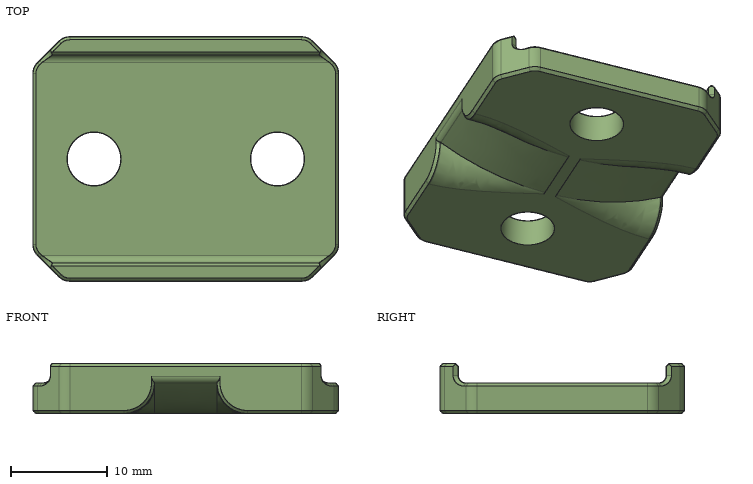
import cadquery as cq
import math

length = 31.75
width = 25.4
height = 5.2
floor_height = 3.18
half_length = length / 2
half_width = width / 2

corner_cut = 3.18
corner_radius = 1.6
edge_chamfer = 0.32

rail_thickness = 1.9
rail_fillet = 0.8
rail_end_steps = 6
rail_end_growth = 1.8

hole_diameter = 5.55
hole_spacing = 19.05

groove_half_width = 3.25
groove_arc_radius = 25.4
groove_flare_radius = 3.18
groove_lip_fillet = 0.8
groove_shallow_end = 0.65
groove_section_count = 9
flare_center_x = groove_half_width + groove_flare_radius

overlap = 0.32


def plate_prism(thickness):
    """Prism with the cut and rounded corners of the plan outline."""
    prism = cq.Workplane("XY").rect(length, width).extrude(thickness)
    prism = prism.edges("|Z").chamfer(corner_cut)
    return prism.edges("|Z").fillet(corner_radius)


def channel_cutter():
    """Space between the rails above the floor, with rounded lower edges."""
    channel_width = width - 2 * rail_thickness
    channel = cq.Workplane("XY", origin=(0, 0, floor_height)).box(
        length + 2 * overlap, channel_width, height, centered=(True, True, False)
    )
    return channel.edges("|X and <Z").fillet(rail_fillet)


def rails():
    """Both rails down to the underside, filleted at the floor and chamfered along the top."""
    gap_width = width - 2 * (rail_thickness + rail_fillet)
    gap = cq.Workplane("XY").box(length, gap_width, 2 * (height + overlap))
    both = plate_prism(height).cut(channel_cutter()).cut(gap)
    return both.faces(">Z").edges().chamfer(edge_chamfer)


def rail_end_triangle(angle):
    """Section of the chamfer between a corner cut and the rail's inner face or its fillet.

    The angle runs from 0 at the upright rail face to 90 degrees at the floor. The chamfer
    meets both faces where a ball of radius edge_chamfer inside the rail would touch them.
    """
    inner_normal = cq.Vector(0, math.cos(angle), math.sin(angle))
    corner_normal = cq.Vector(-math.sqrt(0.5), -math.sqrt(0.5), 0)
    ball_path_radius = rail_fillet + edge_chamfer
    ball_inset = rail_thickness + rail_fillet - ball_path_radius * math.cos(angle)
    ball = cq.Vector(
        -half_length + corner_cut + edge_chamfer * math.sqrt(2) - ball_inset,
        -half_width + ball_inset,
        floor_height + rail_fillet - ball_path_radius * math.sin(angle),
    )
    inner_touch = ball + inner_normal * edge_chamfer
    corner_touch = ball + corner_normal * edge_chamfer
    reach = edge_chamfer / (1 + inner_normal.dot(corner_normal))
    sharp_edge = ball + (inner_normal + corner_normal) * reach
    middle = (inner_touch + corner_touch) * 0.5
    corners = [
        middle + (point - middle) * rail_end_growth
        for point in (inner_touch, sharp_edge, corner_touch)
    ]
    return cq.Wire.makePolygon(corners, close=True)


def rail_end_cutters():
    """Chamfer at the (-X, -Y) rail end: down the upright edge, round the fillet, onto the floor."""
    quarter_turn = math.pi / 2
    sections = [
        rail_end_triangle(quarter_turn * i / rail_end_steps) for i in range(rail_end_steps + 1)
    ]
    upright = cq.Solid.extrudeLinear(sections[0], [], cq.Vector(0, 0, height))
    curved = cq.Solid.makeLoft(sections)
    level = cq.Solid.extrudeLinear(sections[-1], [], cq.Vector(-overlap, overlap, 0))
    return [upright, curved, level]


def ceiling_height(distance):
    """Height of the groove ceiling above the underside at a distance from mid width."""
    return groove_arc_radius - math.sqrt(groove_arc_radius**2 - distance**2)


def section_plane(distance):
    """Workplane across the groove, on the -Y side at a distance from mid width."""
    return cq.Workplane("XZ", origin=(0, -distance, 0))


def inner_section(distance):
    """Groove section whose flares touch the underside and end at the ceiling edges."""
    ceiling = ceiling_height(distance)
    sweep = math.acos(1 - ceiling / groove_flare_radius)
    foot_x = groove_half_width + groove_flare_radius * math.sin(sweep)
    mid_x = foot_x - groove_flare_radius * math.sin(sweep / 2)
    mid_z = groove_flare_radius * (1 - math.cos(sweep / 2))
    section = (
        section_plane(distance)
        .moveTo(-foot_x, 0)
        .threePointArc((-mid_x, mid_z), (-groove_half_width, ceiling))
        .lineTo(groove_half_width, ceiling)
        .threePointArc((mid_x, mid_z), (foot_x, 0))
        .close()
    )
    return section.val()


def mouth_section(distance, widening):
    """Section with upright walls above quarter-round flares, widened evenly all round."""
    wall_x = groove_half_width + widening
    radius = groove_flare_radius - widening
    mid_x = flare_center_x - radius * math.sqrt(0.5)
    mid_z = groove_flare_radius - radius * math.sqrt(0.5)
    section = (
        section_plane(distance)
        .moveTo(-flare_center_x, -overlap)
        .lineTo(-flare_center_x, widening)
        .threePointArc((-mid_x, mid_z), (-wall_x, groove_flare_radius))
        .lineTo(-wall_x, height)
        .lineTo(wall_x, height)
        .lineTo(wall_x, groove_flare_radius)
        .threePointArc((mid_x, mid_z), (flare_center_x, widening))
        .lineTo(flare_center_x, -overlap)
        .close()
    )
    return section.val()


def space_below_ceiling():
    """Space under the -Y half of the ceiling, with the ceiling rounded into the plate side."""
    span = 2 * flare_center_x
    side_height = ceiling_height(half_width)
    mid_y = half_width / 2
    material = (
        cq.Workplane("YZ", origin=(-flare_center_x, 0, 0))
        .moveTo(0, 0)
        .threePointArc((-mid_y, ceiling_height(mid_y)), (-half_width, side_height))
        .lineTo(-half_width, height)
        .lineTo(0, height)
        .close()
        .extrude(span)
    )
    lip = cq.selectors.NearestToPointSelector((0, -half_width, side_height))
    material = material.edges(lip).fillet(groove_lip_fillet)
    block = cq.Workplane("XY", origin=(0, -mid_y, 0)).box(span, half_width, 2 * height)
    return block.cut(material)


def groove_cutters():
    """The -Y half of the groove: its chamfered mouth and the part that runs out at mid width."""
    full_flare = math.sqrt(groove_arc_radius**2 - (groove_arc_radius - groove_flare_radius) ** 2)
    step = (full_flare - groove_shallow_end) / (groove_section_count - 1)
    inner = cq.Solid.makeLoft(
        [inner_section(full_flare - i * step) for i in range(groove_section_count)]
    )
    walls = cq.Solid.makeLoft([mouth_section(half_width, 0), mouth_section(full_flare, 0)], True)
    chamfer = cq.Solid.makeLoft(
        [mouth_section(half_width, edge_chamfer), mouth_section(half_width - edge_chamfer, 0)],
        True,
    )
    mouth = cq.Workplane(walls).union(cq.Workplane(chamfer)).intersect(space_below_ceiling())
    return [inner, mouth.val()]


def cut_on_both_y_sides(body, cutter):
    """Cut with a cutter and with its mirror image on the other side of mid width."""
    return body.cut(cq.Workplane(cutter)).cut(cq.Workplane(cutter.mirror("XZ")))


floor_plate = plate_prism(floor_height).faces(">Z").edges().chamfer(edge_chamfer)
body = floor_plate.union(rails())
body = body.faces("<Z").edges().chamfer(edge_chamfer)

for end_cutter in rail_end_cutters():
    body = cut_on_both_y_sides(body, end_cutter)
    body = cut_on_both_y_sides(body, end_cutter.mirror("YZ"))

for groove_cutter in groove_cutters():
    body = cut_on_both_y_sides(body, groove_cutter)

holes = (
    cq.Workplane("XY")
    .pushPoints([(-hole_spacing / 2, 0), (hole_spacing / 2, 0)])
    .circle(hole_diameter / 2)
    .extrude(height)
)
result = body.cut(holes)